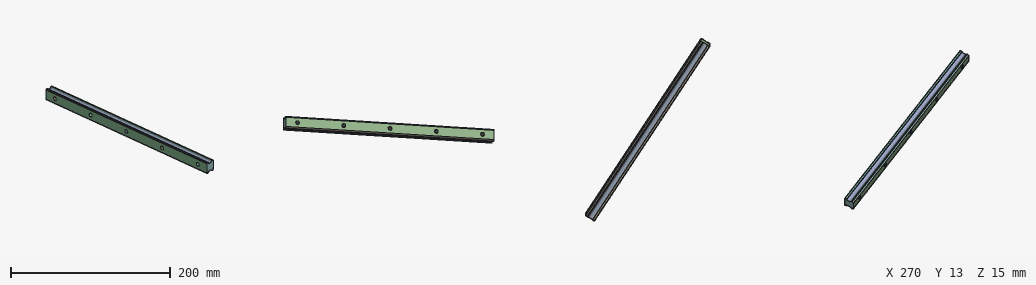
import cadquery as cq

length = 270.0
depth = 13.0
height = 15.0

front_chamfer = 0.5
flange_thickness = 3.0
groove_depth = 2.2
groove_edge_drop = 1.0
groove_end = 8.6
ridge_start = 10.0
ridge_end = 11.0
rear_chamfer_drop = 1.5

hole_count = 5
hole_pitch = 60.0
hole_diameter = 4.5


def make_rail():
    """Extrude the upper half of the section along X and mirror it below mid-height."""
    front = -depth / 2
    rear = depth / 2
    top = height / 2
    upper_half = (
        cq.Workplane("YZ")
        .moveTo(front, 0)
        .lineTo(front, top - front_chamfer)
        .lineTo(front + front_chamfer, top)
        .lineTo(front + flange_thickness, top)
        .lineTo(front + flange_thickness, top - groove_edge_drop)
        .threePointArc(
            (front + (flange_thickness + groove_end) / 2, top - groove_depth),
            (front + groove_end, top - groove_edge_drop),
        )
        .lineTo(front + ridge_start, top)
        .lineTo(front + ridge_end, top)
        .lineTo(rear, top - rear_chamfer_drop)
        .lineTo(rear, 0)
        .close()
        .extrude(length / 2, both=True)
    )
    return upper_half.union(upper_half.mirror("XY")).clean()


def make_holes():
    """Evenly spaced cylinders passing through the rail along Y."""
    return (
        cq.Workplane("XZ")
        .rarray(hole_pitch, 2.7, hole_count, 1)
        .circle(hole_diameter / 2)
        .extrude(depth, both=True)
    )


result = make_rail().cut(make_holes())